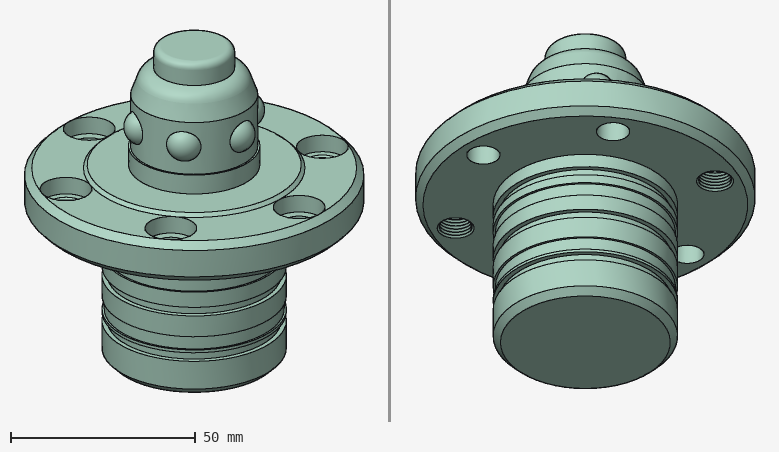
import cadquery as cq
import math

flange_radius = 46.0
flange_thickness = 12.0
edge_chamfer = 2.0

pad_radius = 30.0
pad_height = 1.0

nose_foot_radius = 17.8
nose_foot_top = 18.7
nose_radius = 17.25
nose_straight_top = 34.35
nose_top = 42.45
nose_taper_angle = 20.0
nose_round = 5.0

pin_radius = 11.0
pin_top = 49.0
pin_round = 2.0

ball_count = 6
ball_radius = 5.0
ball_circle_radius = 15.0
ball_height = 27.0

shank_radius = 25.0
shank_length = 44.5
seal_groove_radius = 23.6
seal_groove_width = 2.6
seal_groove_depths = [4.0, 17.75, 31.5]
relief_groove_radius = 24.4
relief_groove_width = 4.0
relief_groove_depths = [9.15, 26.65]

bolt_count = 6
bolt_circle_radius = 37.0
counterbore_radius = 7.0
counterbore_depth = 5.0
clearance_radius = 4.5

thread_minor_radius = 4.46
thread_major_radius = 5.0
thread_pitch = 1.0


def disc(radius, bottom, top):
    """Cylinder on the Z axis between two heights."""
    return cq.Workplane("XY").workplane(offset=bottom).circle(radius).extrude(top - bottom)


def polar_point(radius, index, count):
    """Point on a circle, counted from the +Y axis."""
    angle = math.radians(90 + index * 360 / count)
    return radius * math.cos(angle), radius * math.sin(angle)


def make_flange():
    pad_top = flange_thickness + pad_height
    chamfer_radius = flange_radius - edge_chamfer
    return (
        cq.Workplane("YZ")
        .lineTo(chamfer_radius, 0)
        .lineTo(flange_radius, edge_chamfer)
        .lineTo(flange_radius, flange_thickness - edge_chamfer)
        .lineTo(chamfer_radius, flange_thickness)
        .lineTo(pad_radius, flange_thickness)
        .lineTo(pad_radius - pad_height, pad_top)
        .lineTo(0, pad_top)
        .close()
        .revolve(360, (0, 0, 0), (0, 1, 0))
    )


def make_nose():
    taper_inset = (nose_top - nose_straight_top) * math.tan(math.radians(nose_taper_angle))
    foot = disc(nose_foot_radius, flange_thickness, nose_foot_top)
    body = (
        cq.Workplane("XZ")
        .moveTo(0, flange_thickness)
        .lineTo(nose_radius, flange_thickness)
        .lineTo(nose_radius, nose_straight_top)
        .lineTo(nose_radius - taper_inset, nose_top)
        .lineTo(0, nose_top)
        .close()
        .revolve(360, (0, 0, 0), (0, 1, 0))
        .faces(">Z").edges().fillet(nose_round)
    )
    pin = disc(pin_radius, nose_straight_top, pin_top).faces(">Z").edges().fillet(pin_round)
    return body.union(foot).union(pin)


def make_balls():
    points = [polar_point(ball_circle_radius, i, ball_count) for i in range(ball_count)]
    return cq.Workplane("XY").workplane(offset=ball_height).pushPoints(points).sphere(ball_radius)


def ring_groove(floor_radius, depth, width):
    """Oversize ring cutter for a square groove whose upper wall is the given depth below the flange."""
    return (
        cq.Workplane("XY").workplane(offset=-depth)
        .circle(flange_radius).circle(floor_radius).extrude(-width)
    )


def make_shank():
    shank = disc(shank_radius, -shank_length, 0).faces("<Z").edges().chamfer(edge_chamfer)
    for depth in seal_groove_depths:
        shank = shank.cut(ring_groove(seal_groove_radius, depth, seal_groove_width))
    for depth in relief_groove_depths:
        shank = shank.cut(ring_groove(relief_groove_radius, depth, relief_groove_width))
    return shank


def threaded_bore():
    """Cutter for a threaded hole, its thread simplified to stacked V-shaped rings."""
    bore_top = flange_thickness - counterbore_depth
    turns = math.floor(bore_top / thread_pitch)
    outline = cq.Workplane("XZ").lineTo(thread_major_radius, 0)
    for turn in range(turns):
        start = turn * thread_pitch
        outline = outline.lineTo(thread_minor_radius, start + thread_pitch / 2)
        outline = outline.lineTo(thread_major_radius, start + thread_pitch)
    outline = outline.lineTo(0, bore_top).close()
    return outline.revolve(360, (0, 0, 0), (0, 1, 0))


def cut_bolt_holes(body):
    for i in range(bolt_count):
        x, y = polar_point(bolt_circle_radius, i, bolt_count)
        on_y_axis = i % (bolt_count // 2) == 0
        bore = threaded_bore() if on_y_axis else disc(clearance_radius, 0, flange_thickness)
        counterbore = disc(counterbore_radius, flange_thickness - counterbore_depth, flange_thickness)
        body = body.cut(bore.union(counterbore).translate((x, y, 0)))
    return body


flange = cut_bolt_holes(make_flange())
result = flange.union(make_nose()).union(make_balls()).union(make_shank())